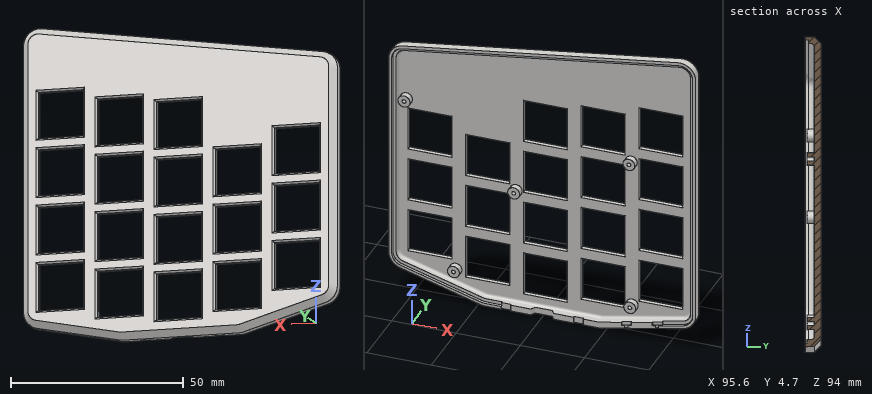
import cadquery as cq
import math

WIDTH = 95.6
DEPTH = 4.7
MID_X = WIDTH / 2

LEFT_LOW_Z = 8.4
LEFT_HIGH_Z = 81.3
RIGHT_LOW_Z = 5.9
TOP_SLOPE = 8.0
BASE_LEFT_X = 29.3
BASE_RIGHT_X = 65.8
CORNER_RADIUS = 5.0
BACK_CHAMFER = 2.0

FLOOR = 2.1
FLOOR_FILLET = 1.0
FLOOR_Y = DEPTH - FLOOR
WALL = 2.0
LIP = 1.0
LEDGE_DEPTH = 1.0

GAP_WIDTH = 3.0
GAP_DEPTH = 0.5
BASE_GAP_OFFSET = 11.3
BASE_GAPS = [MID_X - BASE_GAP_OFFSET, MID_X + BASE_GAP_OFFSET]
SLOPE_GAPS = [74.0, 83.6]
GROOVE_DIAMETER = 1.0
LOWER_WALL_REACH = 9.6

NOTCH_DEPTH = 1.4
NOTCH_FLOOR_WIDTH = 5.4
NOTCH_TOP_WIDTH = 7.1
NOTCH_ROUNDING = 0.4

KEY_SIZE = 13.7
KEY_FLARE = 0.6
KEY_PITCH_X = 18.0
KEY_PITCH_Z = 17.0
KEY_COLUMNS = [(18.9, 3), (13.8, 3), (11.9, 4), (13.8, 4), (16.8, 4)]

BOSS_DIAMETER = 3.7
BOSS_HOLE_DIAMETER = 1.1
BOSS_HEIGHT = 2.0
BOSS_CENTRES = [(4.6, 63.0), (74.6, 56.2), (38.7, 39.3), (20.0, 9.1), (74.9, 8.4)]


def plane_at(y):
    """Workplane at depth y that extrudes toward the open side."""
    return cq.Workplane("XZ", origin=(0, y, 0))


def make_outline():
    """Full-depth solid of the rounded six-sided outline."""
    right_high_z = LEFT_HIGH_Z + WIDTH * math.tan(math.radians(TOP_SLOPE))
    corners = [
        (0, LEFT_LOW_Z),
        (BASE_LEFT_X, 0),
        (BASE_RIGHT_X, 0),
        (WIDTH, RIGHT_LOW_Z),
        (WIDTH, right_high_z),
        (0, LEFT_HIGH_Z),
    ]
    body = plane_at(DEPTH).polyline(corners).close().extrude(DEPTH)
    return body.edges("|Y").fillet(CORNER_RADIUS)


def make_inset(outline, distance, depth):
    """Solid of the outline moved inward, reaching from the open side to the depth."""
    rim = outline.faces("<Y").wires().toPending()
    return rim.offset2D(-distance).extrude(-depth, combine=False)


def make_lower_block(start_x, end_x, depth):
    """Block across the lower wall, reaching from the open side to the depth."""
    centre_x = (start_x + end_x) / 2
    return (
        plane_at(depth)
        .moveTo(centre_x, 0)
        .rect(end_x - start_x, 2 * LOWER_WALL_REACH)
        .extrude(depth)
    )


def make_gap(centre_x):
    return make_lower_block(centre_x - GAP_WIDTH / 2, centre_x + GAP_WIDTH / 2, GAP_DEPTH)


def make_groove(centre_x):
    """Round bar lying along Z in the plane of the open side."""
    return cq.Workplane("XY").moveTo(centre_x, 0).circle(GROOVE_DIAMETER / 2).extrude(LOWER_WALL_REACH)


def make_notch():
    """Notch cutter, widened outside the part so that both ends of its flanks can be rounded."""
    half_floor = NOTCH_FLOOR_WIDTH / 2
    half_top = NOTCH_TOP_WIDTH / 2
    half_head = NOTCH_TOP_WIDTH
    half_profile = [
        (half_floor, NOTCH_DEPTH),
        (half_top, 0),
        (half_head, 0),
        (half_head, -NOTCH_DEPTH),
    ]
    right = [(MID_X + x, y) for x, y in half_profile]
    left = [(MID_X - x, y) for x, y in reversed(half_profile)]
    cutter = cq.Workplane("XY").polyline(right + left).close().extrude(WALL)
    flank_ends = cq.selectors.BoxSelector(
        (MID_X - half_top - NOTCH_ROUNDING, -NOTCH_ROUNDING, 0),
        (MID_X + half_top + NOTCH_ROUNDING, NOTCH_DEPTH + NOTCH_ROUNDING, WALL),
    )
    return cutter.edges("|Z").edges(flank_ends).fillet(NOTCH_ROUNDING)


def make_key_openings():
    centres = [
        (MID_X + (column - 2) * KEY_PITCH_X, low_z + row * KEY_PITCH_Z)
        for column, (low_z, count) in enumerate(KEY_COLUMNS)
        for row in range(count)
    ]
    flared_size = KEY_SIZE + 2 * KEY_FLARE
    openings = plane_at(DEPTH).pushPoints(centres).rect(KEY_SIZE, KEY_SIZE).extrude(FLOOR)
    flares = plane_at(DEPTH).pushPoints(centres).rect(flared_size, flared_size).extrude(KEY_FLARE, taper=45)
    return openings.union(flares)


def make_boss_pins(diameter):
    return plane_at(FLOOR_Y).pushPoints(BOSS_CENTRES).circle(diameter / 2).extrude(BOSS_HEIGHT)


outline = make_outline()
cavity = make_inset(outline, WALL, FLOOR_Y).faces(">Y").edges().fillet(FLOOR_FILLET)
tray = outline.faces(">Y").chamfer(BACK_CHAMFER).cut(cavity)

inside_lip = make_inset(outline, LIP, LEDGE_DEPTH)
full_height_wall = make_lower_block(
    BASE_GAPS[0] - GAP_WIDTH / 2, SLOPE_GAPS[-1] + GAP_WIDTH / 2, LEDGE_DEPTH
)
tray = tray.cut(inside_lip.cut(full_height_wall))

for gap_x in BASE_GAPS:
    tray = tray.cut(make_gap(gap_x))

for gap_x in SLOPE_GAPS:
    tray = tray.cut(make_gap(gap_x).intersect(inside_lip))
    tray = tray.cut(make_groove(gap_x).cut(inside_lip))

tray = tray.cut(make_notch())
tray = tray.cut(make_key_openings())
tray = tray.union(make_boss_pins(BOSS_DIAMETER))
result = tray.cut(make_boss_pins(BOSS_HOLE_DIAMETER))